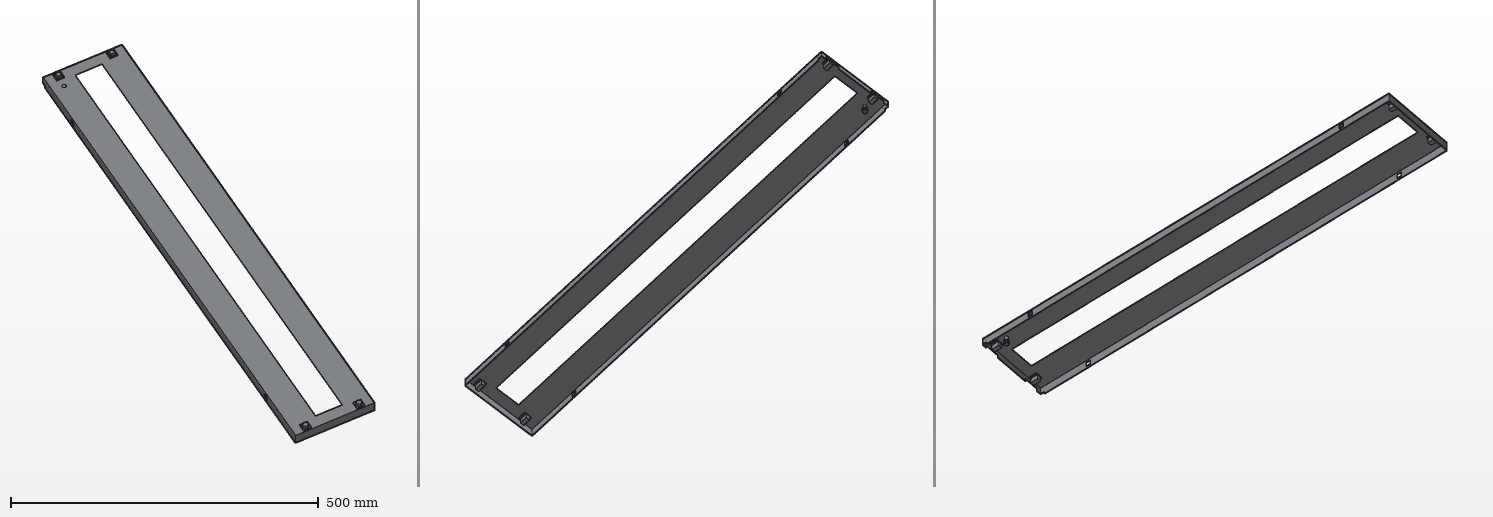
import cadquery as cq

length = 865.0
width = 148.0
flange_depth = 19.0
sheet = 1.5
bend_radius = 2.0
window_length = 821.0
window_width = 49.0

end_flange_rise = 4.8
corner_cutback = 9.0
notch_width = 28.5
notch_top = 10.0

side_hole_size = 8.2
side_hole_x = 330.0
side_hole_z = 9.5

fastener_x = 422.0
fastener_y = 49.0
collar_size = 15.0
head_size = 10.0
head_top_size = 8.0
head_height = 4.0
shank_length = collar_size
shank_width = 8.0
shank_bottom = 8.0
head_turns = {-1: 0.0, 1: 45.0}

stud_x = -400.0
stud_y = -51.0
stud_diameter = 7.0
stud_bottom = 2.0
washer_diameter = 10.0
washer_thickness = 2.0
nut_across_corners = 10.0
nut_bottom = 3.0
nut_height = 4.0
nut_sides = 6

underside = flange_depth - sheet
end_x = -length / 2
SIDES = (-1, 1)


def box(size_x, size_y, bottom, top):
    """Box centred on X and Y between two heights."""
    return cq.Workplane("XY", origin=(0, 0, bottom)).rect(size_x, size_y).extrude(top - bottom)


def make_tray():
    """Shallow inverted tray with rounded bends along its edges and corners."""
    outer = box(length, width, 0, flange_depth).edges("|Z or >Z").fillet(bend_radius)
    return outer.cut(box(length - 2 * sheet, width - 2 * sheet, 0, underside))


def cut_end(panel):
    """Shorten the -X end flange and notch it below both fasteners."""
    panel = panel.cut(box(2 * corner_cutback, width, 0, end_flange_rise).translate((end_x, 0, 0)))
    for side in SIDES:
        notch = box(2 * sheet, notch_width, 0, notch_top)
        panel = panel.cut(notch.translate((end_x, side * fastener_y, 0)))
    return panel


def cut_side_holes(panel):
    """Square holes through both long flanges."""
    for side in SIDES:
        hole = cq.Workplane("XY").box(side_hole_size, 2 * width, side_hole_size)
        panel = panel.cut(hole.translate((side * side_hole_x, 0, side_hole_z)))
    return panel


def cut_fastener_holes(panel):
    """Square holes through the sheet for the fastener collars."""
    hole = box(collar_size, collar_size, underside, flange_depth)
    for side_x in SIDES:
        for side_y in SIDES:
            panel = panel.cut(hole.translate((side_x * fastener_x, side_y * fastener_y, 0)))
    return panel


def make_panel():
    """Bent panel with its central window and all its holes."""
    panel = cut_side_holes(cut_end(make_tray()))
    panel = panel.cut(box(window_length, window_width, 0, flange_depth))
    return cut_fastener_holes(panel)


def make_fastener(side_x, side_y):
    """Tapered square head above a collar and a flat shank."""
    head = (
        cq.Workplane("XY")
        .rect(head_size, head_size)
        .workplane(offset=head_height)
        .rect(head_top_size, head_top_size)
        .loft(ruled=True)
        .rotate((0, 0, 0), (0, 0, 1), head_turns[side_x])
        .translate((0, 0, flange_depth))
    )
    collar = box(collar_size, collar_size, underside, flange_depth)
    shank = box(shank_length, shank_width, shank_bottom, underside)
    return head.union(collar).union(shank).translate((side_x * fastener_x, side_y * fastener_y, 0))


def at_stud(bottom):
    """Horizontal workplane on the stud axis."""
    return cq.Workplane("XY", origin=(stud_x, stud_y, bottom))


def make_stud():
    """Round stud hanging from the underside of the sheet."""
    return at_stud(stud_bottom).circle(stud_diameter / 2).extrude(underside - stud_bottom)


def make_washer():
    """Flat ring resting on the nut."""
    ring = at_stud(nut_bottom + nut_height).circle(washer_diameter / 2).circle(stud_diameter / 2)
    return ring.extrude(washer_thickness)


def make_nut():
    """Hexagonal nut around the stud."""
    ring = at_stud(nut_bottom).polygon(nut_sides, nut_across_corners).circle(stud_diameter / 2)
    return ring.extrude(nut_height)


panel = make_panel()
fasteners = [make_fastener(side_x, side_y) for side_x in SIDES for side_y in SIDES]
stud = make_stud()
washer = make_washer()
nut = make_nut()

result = cq.Compound.makeCompound(
    [panel.val(), *[fastener.val() for fastener in fasteners], stud.val(), washer.val(), nut.val()]
)